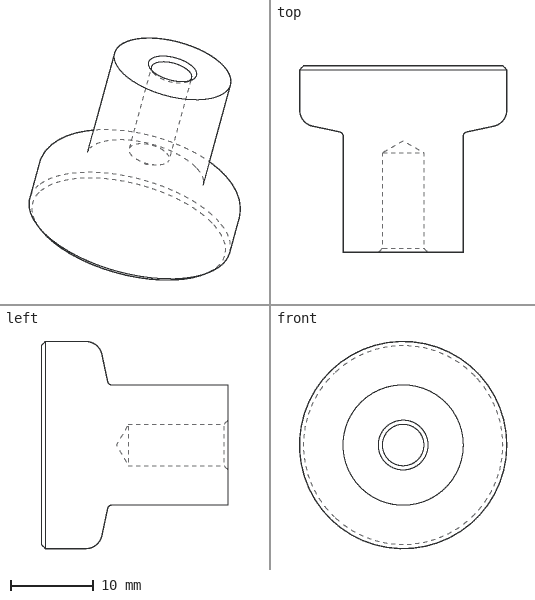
import cadquery as cq
import math

overall_length = 22.5
head_diameter = 25.0
stem_diameter = 14.5

back_rim_chamfer = 0.5
front_rim_radius = 2.0
head_cylinder_length = 5.35
cone_angle = math.radians(12)
stem_fillet_radius = 0.5

hole_diameter = 5.0
hole_chamfer_diameter = 6.0
hole_chamfer_depth = (hole_chamfer_diameter - hole_diameter) / 2
hole_depth = 12.0
drill_point_angle = math.radians(120)

head_radius = head_diameter / 2
stem_radius = stem_diameter / 2
hole_radius = hole_diameter / 2


def arc_point(center, radius, angle):
    """Point on an arc, with the angle measured from the radial direction toward -Y."""
    return (
        center[0] + radius * math.cos(angle),
        center[1] - radius * math.sin(angle),
    )


def make_body():
    """Revolve the half profile (radius, y), with the back face at y = 0."""
    quarter_turn = math.pi / 2
    front_rim_center = (head_radius - front_rim_radius, -head_cylinder_length)

    rim_sweep = quarter_turn - cone_angle
    cone_outer = arc_point(front_rim_center, front_rim_radius, rim_sweep)

    fillet_center_radius = stem_radius + stem_fillet_radius
    fillet_tangent_radius = fillet_center_radius - stem_fillet_radius * math.sin(cone_angle)
    cone_inner_y = cone_outer[1] - (cone_outer[0] - fillet_tangent_radius) * math.tan(cone_angle)
    fillet_center_y = cone_inner_y - stem_fillet_radius * math.cos(cone_angle)
    fillet_center = (fillet_center_radius, fillet_center_y)
    fillet_middle_angle = math.pi + (quarter_turn - cone_angle) / 2

    profile = (
        cq.Workplane("XY")
        .lineTo(head_radius - back_rim_chamfer, 0)
        .lineTo(head_radius, -back_rim_chamfer)
        .lineTo(head_radius, -head_cylinder_length)
        .threePointArc(
            arc_point(front_rim_center, front_rim_radius, rim_sweep / 2),
            cone_outer,
        )
        .lineTo(fillet_tangent_radius, cone_inner_y)
        .threePointArc(
            arc_point(fillet_center, stem_fillet_radius, fillet_middle_angle),
            (stem_radius, fillet_center_y),
        )
        .lineTo(stem_radius, -overall_length)
        .lineTo(0, -overall_length)
        .close()
    )
    return profile.revolve(360, (0, 0, 0), (0, 1, 0))


def make_hole():
    """Blind hole with a chamfered mouth and a conical drill point."""
    stem_end_y = -overall_length
    drill_point_length = hole_radius / math.tan(drill_point_angle / 2)
    profile = (
        cq.Workplane("XY")
        .moveTo(0, stem_end_y)
        .lineTo(hole_chamfer_diameter / 2, stem_end_y)
        .lineTo(hole_radius, stem_end_y + hole_chamfer_depth)
        .lineTo(hole_radius, stem_end_y + hole_depth)
        .lineTo(0, stem_end_y + hole_depth + drill_point_length)
        .close()
    )
    return profile.revolve(360, (0, 0, 0), (0, 1, 0))


result = make_body().cut(make_hole())